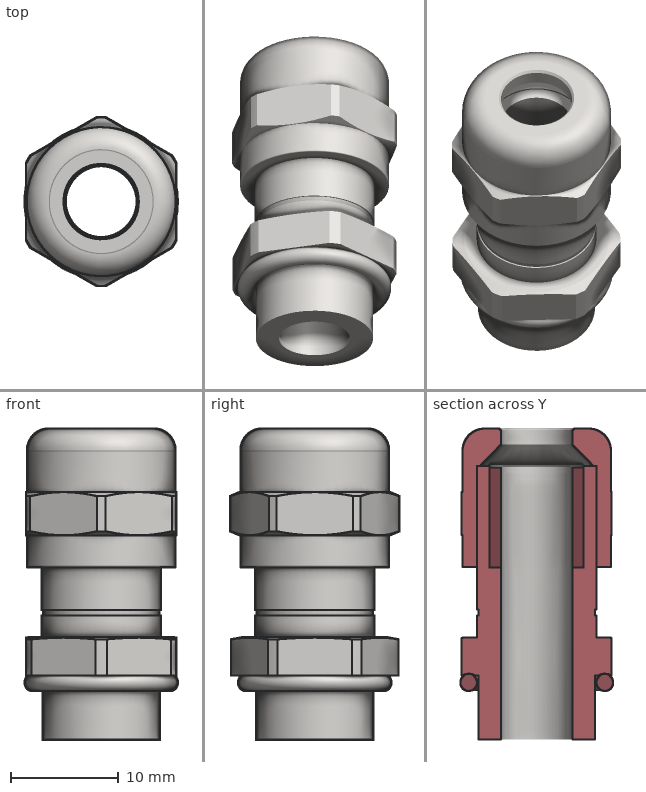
import cadquery as cq


height = 28.97
bore_radius = 3.3
hex_across_flats = 14.0

entry_radius = 5.45
neck_radius = 5.57
hex_bottom = 5.97
hex_top = 9.55
hex_corner_radius = 7.8
hex_bevel_radius = 6.75
hex_bevel_height = 0.2
groove_bottom = 11.58
groove_width = 0.5
groove_depth = 0.13
body_top = 25.5

ring_section_radius = 0.8
ring_outer_radius = 7.135
ring_radius = ring_outer_radius - ring_section_radius
ring_height = 5.33

seal_radius = 4.35
seal_recess = 0.15
seal_top = body_top - seal_recess

cap_radius = 6.93
cap_bottom = 16.05
cap_round = 2.1
cap_rim_round = 0.1
cap_hex_bottom = 19.0
cap_hex_top = 23.07
cap_hex_corner_radius = 7.86
cap_hex_bevel_height = 0.4
lip_chamfer = 0.2
lip_bottom = 27.45
throat_radius = 5.2

seal_bottom = cap_bottom


def cylinder(radius, bottom, top):
    """Upright cylinder on the Z axis."""
    return cq.Workplane("XY").workplane(offset=bottom).circle(radius).extrude(top - bottom)


def revolve_profile(points):
    """Closed (radius, height) outline turned about the Z axis."""
    return cq.Workplane("XZ").polyline(points).close().revolve(360, (0, 0), (0, 1))


def hexagon(bottom, top, envelope):
    """Hexagon with flats facing +X and -X, its corners trimmed to a turned (radius, height) envelope."""
    prism = (
        cq.Workplane("XY")
        .workplane(offset=bottom)
        .polygon(6, hex_across_flats, circumscribed=True)
        .extrude(top - bottom)
    )
    return prism.intersect(revolve_profile(envelope))


def make_sealing_ring():
    return (
        cq.Workplane("XZ")
        .center(ring_radius, ring_height)
        .circle(ring_section_radius)
        .revolve(360, (-ring_radius, 0), (-ring_radius, 1))
    )


def make_clamping_seal():
    return cylinder(seal_radius, seal_bottom, seal_top).cut(cylinder(bore_radius, seal_bottom, seal_top))


def make_body():
    spanner_hex = hexagon(
        hex_bottom,
        hex_top,
        [
            (0, hex_bottom),
            (hex_corner_radius, hex_bottom),
            (hex_corner_radius, hex_top - hex_bevel_height),
            (hex_bevel_radius, hex_top),
            (0, hex_top),
        ],
    )
    body = (
        cylinder(entry_radius, 0, hex_bottom)
        .union(spanner_hex)
        .union(cylinder(neck_radius, hex_top, body_top))
    )

    groove_top = groove_bottom + groove_width
    groove = cylinder(neck_radius, groove_bottom, groove_top).cut(
        cylinder(neck_radius - groove_depth, groove_bottom, groove_top)
    )

    bore = cylinder(bore_radius, 0, body_top)
    seal_pocket = cylinder(seal_radius, seal_bottom, body_top)

    return body.cut(groove).cut(bore).cut(seal_pocket).cut(make_sealing_ring())


def make_cap_nut():
    dome = cylinder(cap_radius, cap_bottom, height)
    dome = dome.faces(">Z").edges().fillet(cap_round)
    dome = dome.faces("<Z").edges().fillet(cap_rim_round)
    spanner_hex = hexagon(
        cap_hex_bottom,
        cap_hex_top,
        [
            (0, cap_hex_bottom),
            (cap_radius, cap_hex_bottom),
            (cap_hex_corner_radius, cap_hex_bottom + cap_hex_bevel_height),
            (cap_hex_corner_radius, cap_hex_top - cap_hex_bevel_height),
            (cap_radius, cap_hex_top),
            (0, cap_hex_top),
        ],
    )

    hollow = revolve_profile(
        [
            (0, cap_bottom),
            (neck_radius, cap_bottom),
            (neck_radius, body_top),
            (throat_radius, body_top),
            (bore_radius, lip_bottom),
            (bore_radius, height - lip_chamfer),
            (bore_radius + lip_chamfer, height),
            (0, height),
        ]
    )
    return dome.union(spanner_hex).cut(hollow)


body = make_body()
sealing_ring = make_sealing_ring()
clamping_seal = make_clamping_seal()
cap_nut = make_cap_nut()

result = cq.Compound.makeCompound(
    [body.val(), sealing_ring.val(), clamping_seal.val(), cap_nut.val()]
)